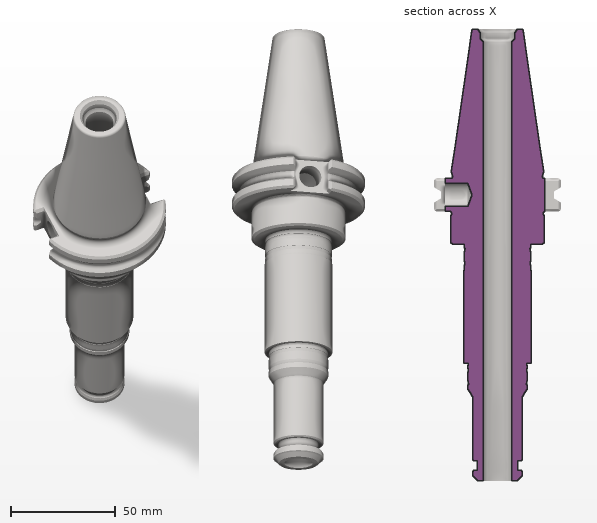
import cadquery as cq
import math

length = 216.2
gauge_z = 148.0
flange_top = 144.8
flange_bottom = 128.8
collar_top = 126.9
collar_bottom = 113.0
seat_bottom = 100.7
body_bottom = 56.2
guide_bottom = 43.9
shank_top = 40.2
shank_bottom = 9.5
head_top = 5.5
head_bottom = 2.4

gauge_dia = 44.5
taper_ratio = 7 / 24
upper_undercut_dia = 43.2
lower_undercut_dia = 43.9
flange_dia = 63.5
groove_dia = 56.2
collar_dia = 45.0
body_dia = 32.5
seat_dia = 32.0
guide_dia = 28.5
shank_dia = 24.0
neck_dia = 19.5
head_cone_dia = 22.7

top_edge_radius = 1.0
flange_chamfer = 1.0
root_radius = 0.9
collar_chamfer_radial = 1.3
collar_chamfer_axial = 0.9
shank_chamfer = 0.6
head_chamfer_axial = 1.0
head_step = 0.5
guide_corner_length = 0.9

shallow_depth = 0.2
tapered_depth = 0.32
shallow_length = 1.7
seat_tapered_top = 111.0
seat_groove_top = 105.0
guide_groove_top = 53.8
guide_tapered_top = 48.0

groove_z = (flange_top + flange_bottom) / 2
groove_flank_angle = 30
groove_floor_width = 3.2

bore_dia = 13.6
counterbore_dia = 16.5
countersink_dia = 18.8
countersink_depth = 1.7
counterbore_depth = 4.5

slot_width = 16.2
front_slot_floor = 25.0
back_slot_floor = 22.7
slot_chamfer = 1.3
slot_corner_radius = 0.6
slot_hole_dia = 10.8
slot_hole_depth = 10.8
drill_point_angle = 140
cutter_overrun = 2.2


def straight_groove(dia, top):
    """Diameter and height pairs of a shallow square groove, from its lower edge up."""
    floor_dia = dia - 2 * shallow_depth
    bottom = top - shallow_length
    return [(dia, bottom), (floor_dia, bottom), (floor_dia, top), (dia, top)]


def outer_profile():
    """Diameter and height pairs of the turned outside, from the lower end up."""
    groove_half = groove_floor_width / 2
    flank_height = (flange_dia - groove_dia) / 2 * math.tan(math.radians(groove_flank_angle))
    flange_edge_dia = flange_dia - 2 * flange_chamfer
    shank_edge_dia = shank_dia - 2 * shank_chamfer
    head_cone_top = head_bottom - head_step
    guide_corner_dia = guide_dia - 2 * shallow_depth
    return [
        (head_cone_dia - 2 * head_cone_top, 0),
        (head_cone_dia, head_cone_top),
        (shank_dia, head_bottom),
        (shank_dia, head_top - head_chamfer_axial),
        (shank_edge_dia, head_top),
        (neck_dia, head_top),
        (neck_dia, shank_bottom),
        (shank_edge_dia, shank_bottom),
        (shank_dia, shank_bottom + shank_chamfer),
        (shank_dia, shank_top),
        (guide_dia, guide_bottom),
        (guide_dia, guide_tapered_top - shallow_length),
        (guide_dia - 2 * tapered_depth, guide_tapered_top - shallow_length),
        (guide_dia, guide_tapered_top),
        *straight_groove(guide_dia, guide_groove_top),
        (guide_dia, body_bottom - guide_corner_length),
        (guide_corner_dia, body_bottom - guide_corner_length),
        (guide_corner_dia, body_bottom),
        (body_dia, body_bottom),
        (body_dia, seat_bottom),
        (seat_dia, seat_bottom),
        *straight_groove(seat_dia, seat_groove_top),
        (seat_dia, seat_tapered_top - shallow_length),
        (seat_dia - 2 * tapered_depth, seat_tapered_top),
        (seat_dia, seat_tapered_top),
        (seat_dia, collar_bottom),
        (collar_dia - 2 * collar_chamfer_radial, collar_bottom),
        (collar_dia, collar_bottom + collar_chamfer_axial),
        (collar_dia, collar_top),
        (lower_undercut_dia, flange_bottom - root_radius),
        (lower_undercut_dia, flange_bottom),
        (flange_edge_dia, flange_bottom),
        (flange_dia, flange_bottom + flange_chamfer),
        (flange_dia, groove_z - groove_half - flank_height),
        (groove_dia, groove_z - groove_half),
        (groove_dia, groove_z + groove_half),
        (flange_dia, groove_z + groove_half + flank_height),
        (flange_dia, flange_top - flange_chamfer),
        (flange_edge_dia, flange_top),
        (upper_undercut_dia, flange_top),
        (upper_undercut_dia, flange_top + root_radius),
        (gauge_dia, gauge_z),
        (gauge_dia - taper_ratio * (length - gauge_z), length),
    ]


def root_ring(undercut_dia, flange_face, outward):
    """Fillet ring between a flange face and the undercut beside it."""
    inner = undercut_dia / 2
    outer = inner + root_radius
    far_z = flange_face + outward * root_radius
    bend = root_radius * (1 - math.sqrt(0.5))
    return (
        cq.Workplane("XZ")
        .moveTo(inner, flange_face)
        .lineTo(outer, flange_face)
        .threePointArc((inner + bend, flange_face + outward * bend), (inner, far_z))
        .close()
        .revolve(360, (0, 0, 0), (0, 1, 0))
    )


def bore_profile():
    """Diameter and height pairs of the axial bore, from the lower end up."""
    counterbore_bottom = length - counterbore_depth
    return [
        (bore_dia, 0),
        (bore_dia, counterbore_bottom - (counterbore_dia - bore_dia) / 2),
        (counterbore_dia, counterbore_bottom),
        (counterbore_dia, length - countersink_depth),
        (countersink_dia, length),
    ]


def turned(profile):
    """Solid of revolution about Z of a diameter and height profile."""
    points = [(dia / 2, z) for dia, z in profile]
    points = [(0, points[0][1])] + points + [(0, points[-1][1])]
    return cq.Workplane("XZ").polyline(points).close().revolve(360, (0, 0, 0), (0, 1, 0))


def slot_cutter(floor):
    """Cutter for a slot on the +Y side, with its chamfered rims."""
    half = slot_width / 2
    rim_y = math.sqrt((flange_dia / 2) ** 2 - (half + slot_chamfer) ** 2)
    height = flange_top - flange_bottom
    reach = flange_dia / 2 - floor + cutter_overrun

    slot = (
        cq.Workplane("XY")
        .box(slot_width, reach, height)
        .translate((0, floor + reach / 2, groove_z))
        .edges("|Z and <Y")
        .fillet(slot_corner_radius)
    )

    for face_z, inward in ((flange_top, -1), (flange_bottom, 1)):
        rim = (
            cq.Workplane("XZ", origin=(0, floor, 0))
            .polyline([
                (-half - slot_chamfer, face_z),
                (half + slot_chamfer, face_z),
                (half, face_z + inward * slot_chamfer),
                (-half, face_z + inward * slot_chamfer),
            ])
            .close()
            .extrude(-reach)
        )
        slot = slot.union(rim)

    outer_rim = (
        cq.Workplane("XY", origin=(0, 0, flange_bottom))
        .polyline([
            (-half, rim_y - slot_chamfer),
            (half, rim_y - slot_chamfer),
            (half + 2 * slot_chamfer, rim_y + slot_chamfer),
            (-half - 2 * slot_chamfer, rim_y + slot_chamfer),
        ])
        .close()
        .extrude(height)
    )
    return slot.union(outer_rim)


def slot_hole():
    """Drilled blind hole with a pointed end in the floor of the -Y slot."""
    radius = slot_hole_dia / 2
    point_length = radius / math.tan(math.radians(drill_point_angle / 2))
    wall_end_y = slot_hole_depth - front_slot_floor
    return (
        cq.Workplane("XY")
        .polyline([
            (0, -front_slot_floor),
            (radius, -front_slot_floor),
            (radius, wall_end_y),
            (0, wall_end_y + point_length),
        ])
        .close()
        .revolve(360, (0, 0, 0), (0, 1, 0))
        .translate((0, 0, groove_z))
    )


result = (
    turned(outer_profile())
    .faces(">Z")
    .edges()
    .fillet(top_edge_radius)
    .union(root_ring(upper_undercut_dia, flange_top, 1))
    .union(root_ring(lower_undercut_dia, flange_bottom, -1))
    .cut(turned(bore_profile()))
    .cut(slot_cutter(back_slot_floor))
    .cut(slot_cutter(front_slot_floor).rotate((0, 0, 0), (0, 0, 1), 180))
    .cut(slot_hole())
)